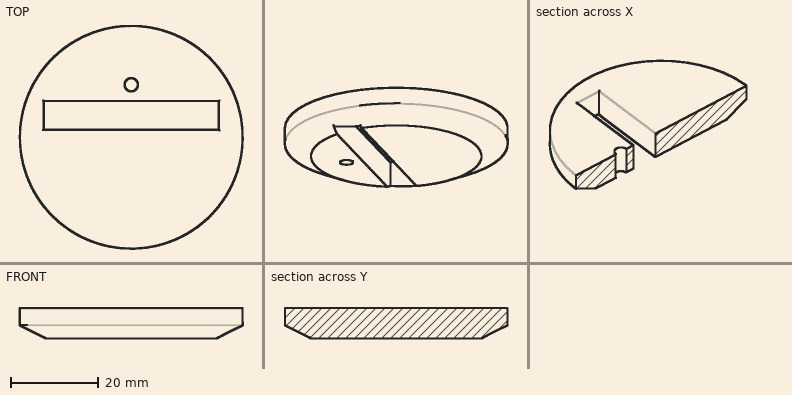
import cadquery as cq

disc_diameter = 51.0
total_height = 7.0
edge_fillet = 0.2

base_diameter = 39.0
cone_height = 3.0

slot_length = 40.0
slot_width = 6.5
slot_center_y = 5.0

hole_diameter = 3.0
hole_center_y = 12.0


def make_disc():
    """Disc with a straight rim above a conical underside, rounded at both rim edges."""
    rim_radius = disc_diameter / 2
    profile = (
        cq.Workplane("XZ")
        .lineTo(-base_diameter / 2, 0)
        .lineTo(-rim_radius, cone_height)
        .lineTo(-rim_radius, total_height)
        .lineTo(0, total_height)
        .close()
    )
    disc = profile.revolve(360, (0, 0, 0), (0, 1, 0))
    rim_edges = disc.edges(cq.selectors.RadiusNthSelector(-1))
    return rim_edges.fillet(edge_fillet)


def make_slot():
    return (
        cq.Workplane("XY")
        .center(0, slot_center_y)
        .rect(slot_length, slot_width)
        .extrude(total_height)
    )


def make_hole():
    return (
        cq.Workplane("XY")
        .center(0, hole_center_y)
        .circle(hole_diameter / 2)
        .extrude(total_height)
    )


slotted_disc = make_disc().cut(make_slot())
slot_mouth = slotted_disc.faces(">Z").edges("%LINE")
result = slot_mouth.fillet(edge_fillet).cut(make_hole())